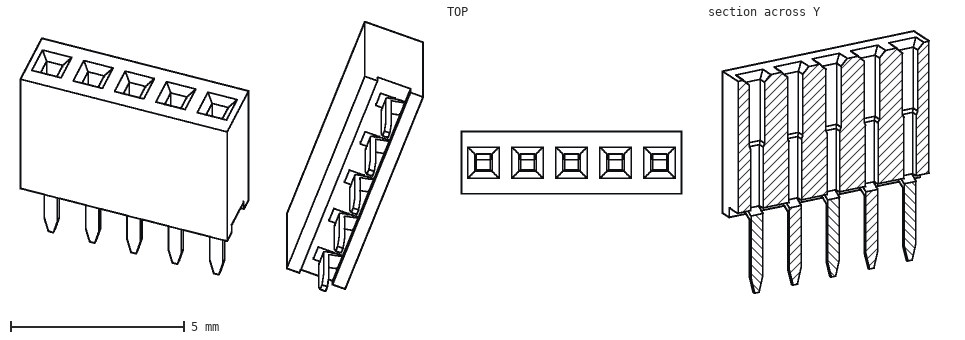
import cadquery as cq
import math

total_height = 6.7
housing_length = 6.35
housing_width = 1.8
housing_height = 4.41
contact_count = 5
pitch = housing_length / contact_count

groove_width = 1.02
groove_depth = 0.3

contact_width = 0.4
contact_thickness = 0.17
tip_width = 0.155
tip_length = 0.495
step_angle = math.radians(27)
leg_top = housing_height / 2

mouth_size = 0.9
entry_size = 0.495
funnel_depth = (mouth_size - entry_size) / 2
entry_top = housing_height - funnel_depth
lead_in_depth = 0.11
lead_in_front_inset = 0.04
shaft_top = housing_height / 2
lead_in_top = shaft_top + lead_in_depth
shaft_length = contact_width
shaft_width = entry_size - lead_in_front_inset
shaft_centre_y = lead_in_front_inset / 2

tail_bottom = housing_height - total_height
tail_front = -contact_thickness / 2
tail_back = contact_thickness / 2
leg_front = -groove_width / 2
leg_back = leg_front + contact_thickness

contact_positions = [(i - (contact_count - 1) / 2) * pitch for i in range(contact_count)]


def make_contact(x):
    """Bent strip: each bend is sharp inside and rounded outside by one thickness."""
    normal_y = math.sin(step_angle)
    normal_z = math.cos(step_angle)
    half_bend = (math.pi / 2 - step_angle) / 2
    middle_y = math.cos(half_bend)
    middle_z = math.sin(half_bend)
    t = contact_thickness

    lower_y = tail_front
    lower_z = 0.0
    upper_y = leg_back
    slope_run = lower_y - upper_y + t * normal_y
    upper_z = lower_z + slope_run * math.tan(step_angle) + t * normal_z

    strip = (
        cq.Workplane("YZ")
        .moveTo(tail_front, tail_bottom)
        .lineTo(tail_back, tail_bottom)
        .lineTo(tail_back, lower_z)
        .threePointArc(
            (lower_y + t * middle_y, lower_z + t * middle_z),
            (lower_y + t * normal_y, lower_z + t * normal_z),
        )
        .lineTo(upper_y, upper_z)
        .lineTo(leg_back, leg_top)
        .lineTo(leg_front, leg_top)
        .lineTo(leg_front, upper_z)
        .threePointArc(
            (upper_y - t * middle_y, upper_z - t * middle_z),
            (upper_y - t * normal_y, upper_z - t * normal_z),
        )
        .lineTo(lower_y, lower_z)
        .close()
        .extrude(contact_width / 2, both=True)
    )

    tip_start = tail_bottom + tip_length
    outline = (
        cq.Workplane("XZ")
        .polyline([
            (-tip_width / 2, tail_bottom),
            (tip_width / 2, tail_bottom),
            (contact_width / 2, tip_start),
            (contact_width / 2, leg_top),
            (-contact_width / 2, leg_top),
            (-contact_width / 2, tip_start),
        ])
        .close()
        .extrude(housing_width / 2, both=True)
    )
    return strip.intersect(outline).translate((x, 0, 0)).solids()


def make_socket(x):
    """Opening from the top of the housing down to the groove, above one contact."""
    funnel = (
        cq.Workplane("XY", origin=(x, 0, entry_top))
        .rect(entry_size, entry_size)
        .workplane(offset=funnel_depth)
        .rect(mouth_size, mouth_size)
        .loft(ruled=True)
    )
    entry = cq.Workplane("XY", origin=(x, 0, lead_in_top)).box(
        entry_size, entry_size, entry_top - lead_in_top, centered=(True, True, False)
    )
    lead_in = (
        cq.Workplane("XY", origin=(x, 0, shaft_top))
        .center(0, shaft_centre_y)
        .rect(shaft_length, shaft_width)
        .workplane(offset=lead_in_depth)
        .center(0, -shaft_centre_y)
        .rect(entry_size, entry_size)
        .loft(ruled=True)
    )
    shaft = cq.Workplane("XY", origin=(x, shaft_centre_y, 0)).box(
        shaft_length, shaft_width, shaft_top, centered=(True, True, False)
    )
    return funnel.union(entry).union(lead_in).union(shaft)


def make_housing(contacts):
    housing = cq.Workplane("XY").box(
        housing_length, housing_width, housing_height, centered=(True, True, False)
    )
    groove = cq.Workplane("XY").box(
        housing_length, groove_width, groove_depth, centered=(True, True, False)
    )
    housing = housing.cut(groove)
    for x in contact_positions:
        housing = housing.cut(make_socket(x))
    for contact in contacts:
        housing = housing.cut(contact)
    return housing.solids()


contacts = [make_contact(x) for x in contact_positions]
housing = make_housing(contacts)

result = cq.Compound.makeCompound([housing.val(), *[contact.val() for contact in contacts]])